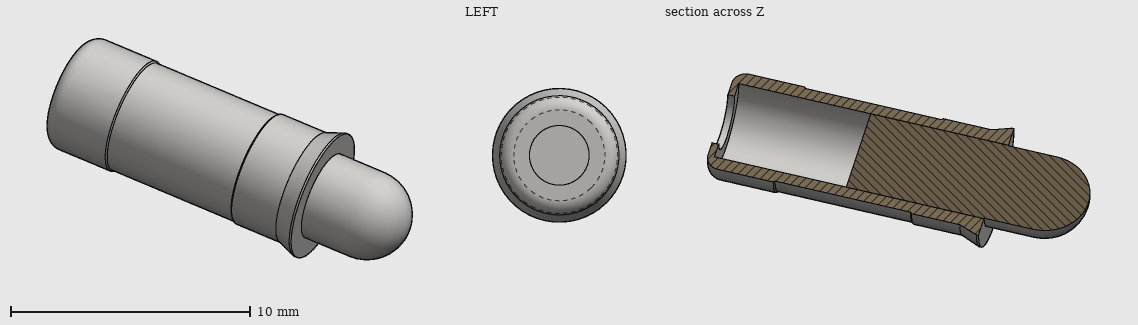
import cadquery as cq

total_length = 16.0
waist_start = 3.0
waist_end = 9.0
flare_start = 11.1
rim_start = 11.9
sleeve_length = 12.0
pin_rear = (waist_start + waist_end) / 2

body_radius = 2.5
waist_radius = 2.43
rim_radius = 2.8
pin_radius = 1.9
entry_radius = 1.25

rear_round = 0.6
waist_taper = 0.06
rear_wall = 0.3


def revolve_about_x(profile):
    """Turn a closed XY profile a full circle about the X axis."""
    return profile.revolve(360, (0, 0, 0), (1, 0, 0))


def make_sleeve():
    """Flared sleeve with a rounded rear end, a shallow waist and a stepped bore."""
    profile = (
        cq.Workplane("XY")
        .moveTo(0, entry_radius)
        .lineTo(0, body_radius - rear_round)
        .radiusArc((rear_round, body_radius), rear_round)
        .lineTo(waist_start, body_radius)
        .lineTo(waist_start + waist_taper, waist_radius)
        .lineTo(waist_end - waist_taper, waist_radius)
        .lineTo(waist_end, body_radius)
        .lineTo(flare_start, body_radius)
        .lineTo(rim_start, rim_radius)
        .lineTo(sleeve_length, rim_radius)
        .lineTo(sleeve_length, pin_radius)
        .lineTo(rear_wall, pin_radius)
        .lineTo(rear_wall, entry_radius)
        .close()
    )
    return revolve_about_x(profile)


def make_pin():
    """Plunger pin that fits the bore and ends in a hemispherical tip."""
    profile = (
        cq.Workplane("XY")
        .moveTo(pin_rear, 0)
        .lineTo(pin_rear, pin_radius)
        .lineTo(total_length - pin_radius, pin_radius)
        .radiusArc((total_length, 0), pin_radius)
        .close()
    )
    return revolve_about_x(profile)


sleeve = make_sleeve()
pin = make_pin()
result = cq.Compound.makeCompound([sleeve.val(), pin.val()])